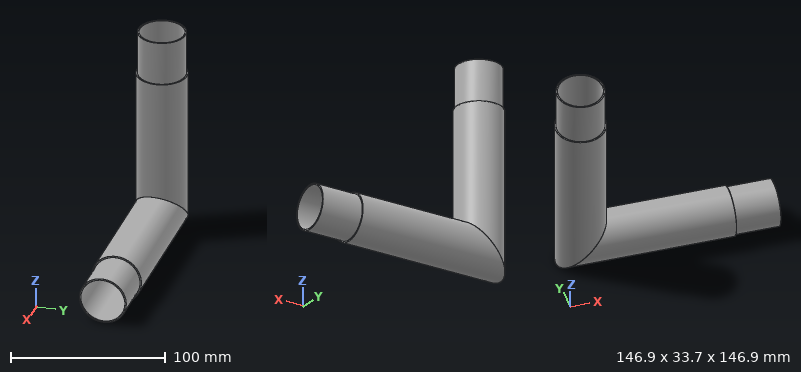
import cadquery as cq

tube_diameter = 33.7
wall_thickness = 2.0
spigot_step = 1.0
shoulder_distance = 100.0
spigot_length = 30.0

tube_radius = tube_diameter / 2
spigot_radius = tube_radius - spigot_step
bore_radius = tube_radius - wall_thickness
arm_end = shoulder_distance + spigot_length
mitre_reach = tube_diameter


def stepped_tube():
    """Straight upright tube with a reduced spigot at its top end, bored through."""
    half_profile = (
        cq.Workplane("XZ")
        .moveTo(bore_radius, -tube_radius)
        .lineTo(tube_radius, -tube_radius)
        .lineTo(tube_radius, shoulder_distance)
        .lineTo(spigot_radius, shoulder_distance)
        .lineTo(spigot_radius, arm_end)
        .lineTo(bore_radius, arm_end)
        .close()
    )
    return half_profile.revolve(360, (0, 0, 0), (0, 1, 0))


def mitre_waste():
    """Wedge below the plane Z = X, cut off the lower end of the upright tube."""
    return (
        cq.Workplane("XZ")
        .moveTo(-mitre_reach, -mitre_reach)
        .lineTo(mitre_reach, -mitre_reach)
        .lineTo(mitre_reach, mitre_reach)
        .close()
        .extrude(mitre_reach, both=True)
    )


upright_arm = stepped_tube().cut(mitre_waste())

horizontal_arm = upright_arm.rotate((0, 0, 0), (1, 0, 1), 180)

arms = [upright_arm, horizontal_arm]
result = cq.Compound.makeCompound([arm.solids().val() for arm in arms])